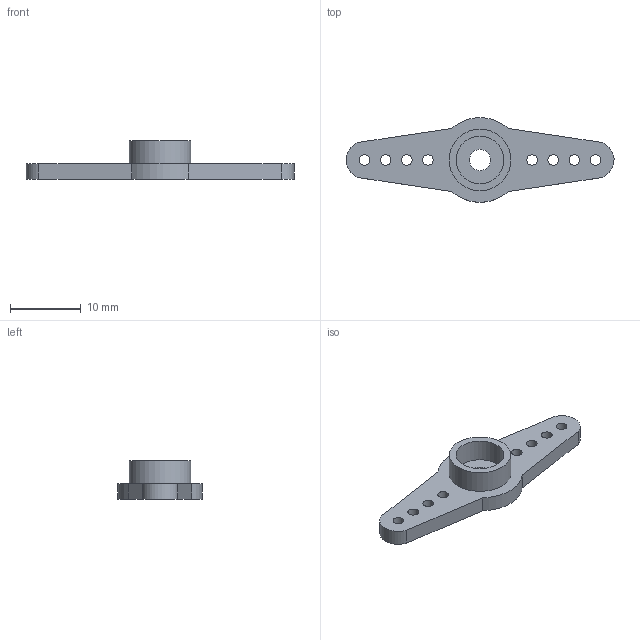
import cadquery as cq
import math

arm_length = 38.0
plate_thickness = 2.25
total_height = 5.5

disc_diameter = 12.0
hub_diameter = 8.75
recess_diameter = 6.75
recess_floor = 2.25
screw_hole_diameter = 3.0

tip_radius = 2.625
tip_center = arm_length / 2 - tip_radius
arm_end_y = 2.5
arm_end_x = tip_center + math.sqrt(tip_radius**2 - arm_end_y**2)
arm_root_x = 4.0
arm_root_y = math.sqrt((disc_diameter / 2) ** 2 - arm_root_x**2)

link_hole_diameter = 1.5
link_hole_pitch = 3.0
link_holes_per_arm = 4


def make_plate():
    """Flat double arm with rounded tips, widened by a disc in the middle."""
    outline = (
        cq.Workplane("XY")
        .moveTo(-arm_root_x, arm_root_y)
        .threePointArc((0, disc_diameter / 2), (arm_root_x, arm_root_y))
        .lineTo(arm_end_x, arm_end_y)
        .threePointArc((arm_length / 2, 0), (arm_end_x, -arm_end_y))
        .lineTo(arm_root_x, -arm_root_y)
        .threePointArc((0, -disc_diameter / 2), (-arm_root_x, -arm_root_y))
        .lineTo(-arm_end_x, -arm_end_y)
        .threePointArc((-arm_length / 2, 0), (-arm_end_x, arm_end_y))
        .close()
    )
    return outline.extrude(plate_thickness)


def add_hub(body):
    """Round hub with a round recess and a screw hole through its floor."""
    hub = cq.Workplane("XY").circle(hub_diameter / 2).extrude(total_height)
    recess = (
        cq.Workplane("XY")
        .workplane(offset=recess_floor)
        .circle(recess_diameter / 2)
        .extrude(total_height - recess_floor)
    )
    screw_hole = cq.Workplane("XY").circle(screw_hole_diameter / 2).extrude(total_height)
    return body.union(hub).cut(recess).cut(screw_hole)


def drill_link_holes(body):
    """Row of linkage holes through each arm."""
    centers = []
    for side in (-1, 1):
        for index in range(link_holes_per_arm):
            centers.append((side * (tip_center - index * link_hole_pitch), 0))
    holes = (
        cq.Workplane("XY")
        .pushPoints(centers)
        .circle(link_hole_diameter / 2)
        .extrude(plate_thickness)
    )
    return body.cut(holes)


result = drill_link_holes(add_hub(make_plate()))